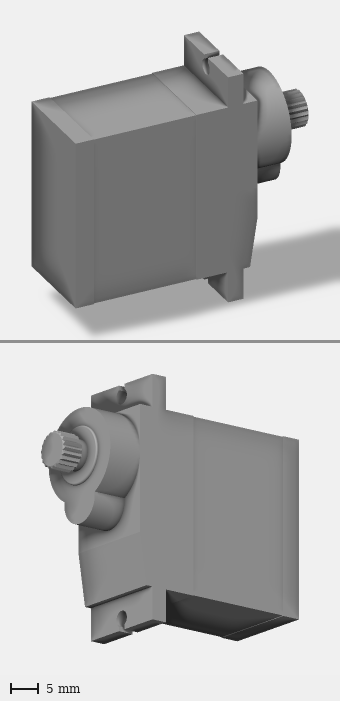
import cadquery as cq
import math


CASE_WIDTH = 17.9
CASE_HEIGHT = 33.95
REAR_CAP_DEPTH = 3.65
MIDDLE_DEPTH = 20.75
FRONT_DEPTH = 12.35
MIDDLE_INSET = 0.1
TAPER_HEIGHT = 9.8
TAPER_DEPTH = 1.5

EAR_SPAN = 46.35
EAR_REAR_Y = 30.85
EAR_THICKNESS = 3.1
EAR_HOLE_RADIUS = 1.5
EAR_HOLE_SPACING = 42.0
EAR_SLOT_WIDTH = 1.5

BOSS_HEIGHT = 6.9
BOSS_RADIUS = CASE_WIDTH / 2
SMALL_BOSS_RADIUS = 4.4
SMALL_BOSS_DROP = 8.45

BEARING_RADIUS = 5.5
BEARING_PROTRUSION = 0.475
BEARING_FILLET = 0.3
SHAFT_LENGTH = 6.35
NECK_RADIUS = 3.0
SPLINE_RADIUS = 3.55
SPLINE_ROOT_RADIUS = 3.1
SPLINE_TEETH = 20
SPLINE_PHASE = 5.1
SPLINE_LENGTH = 4.4
SPLINE_CHAMFER = 0.5
SPLINE_CHAMFER_LENGTH = 0.25

middle_front_y = REAR_CAP_DEPTH + MIDDLE_DEPTH
case_front_y = middle_front_y + FRONT_DEPTH
boss_front_y = case_front_y + BOSS_HEIGHT
shaft_tip_y = boss_front_y + SHAFT_LENGTH
shaft_z = CASE_HEIGHT / 2 - BOSS_RADIUS


def box_along_y(width, height, rear_y, depth):
    """A box centred on the Y axis that runs from rear_y towards +Y."""
    return cq.Workplane("XY").box(width, depth, height).translate((0, rear_y + depth / 2, 0))


def plane_at(y, z=0):
    """A sketch plane across Y: local x is X, local y is Z, and a negative extrusion goes to +Y."""
    return cq.Workplane("XZ", origin=(0, y, z))


def make_ears():
    """A plate across the case with a keyhole slot, open to the tip, in each end."""
    ears = box_along_y(CASE_WIDTH, EAR_SPAN, EAR_REAR_Y, EAR_THICKNESS)
    slot_length = (EAR_SPAN - EAR_HOLE_SPACING) / 2
    for side in (1, -1):
        hole_z = side * EAR_HOLE_SPACING / 2
        slot_z = side * (EAR_SPAN / 2 - slot_length / 2)
        hole = plane_at(EAR_REAR_Y, hole_z).circle(EAR_HOLE_RADIUS).extrude(-EAR_THICKNESS)
        slot = plane_at(EAR_REAR_Y, slot_z).rect(EAR_SLOT_WIDTH, slot_length).extrude(-EAR_THICKNESS)
        ears = ears.cut(hole).cut(slot)
    return ears


def make_front_section():
    """The full-width front block, its front face sloping back at the bottom."""
    bottom_z = -CASE_HEIGHT / 2
    outline = [
        (middle_front_y, bottom_z),
        (case_front_y - TAPER_DEPTH, bottom_z),
        (case_front_y, bottom_z + TAPER_HEIGHT),
        (case_front_y, CASE_HEIGHT / 2),
        (middle_front_y, CASE_HEIGHT / 2),
    ]
    return cq.Workplane("YZ").polyline(outline).close().extrude(CASE_WIDTH / 2, both=True)


def make_boss():
    """The round gear boss around the shaft, with a smaller round-ended boss below it."""
    round_boss = plane_at(case_front_y, shaft_z).circle(BOSS_RADIUS).extrude(-BOSS_HEIGHT)
    small_boss = (
        plane_at(case_front_y, shaft_z)
        .moveTo(-SMALL_BOSS_RADIUS, 0)
        .lineTo(-SMALL_BOSS_RADIUS, -SMALL_BOSS_DROP)
        .threePointArc((0, -SMALL_BOSS_DROP - SMALL_BOSS_RADIUS), (SMALL_BOSS_RADIUS, -SMALL_BOSS_DROP))
        .lineTo(SMALL_BOSS_RADIUS, 0)
        .close()
        .extrude(-BOSS_HEIGHT)
    )
    return round_boss.union(small_boss)


def make_case():
    """Rear cap, recessed middle, front block, ears and boss as one housing."""
    rear_cap = box_along_y(CASE_WIDTH, CASE_HEIGHT, 0, REAR_CAP_DEPTH)
    middle = box_along_y(
        CASE_WIDTH - 2 * MIDDLE_INSET, CASE_HEIGHT - 2 * MIDDLE_INSET, REAR_CAP_DEPTH, MIDDLE_DEPTH
    )
    return rear_cap.union(middle).union(make_front_section()).union(make_ears()).union(make_boss())


def make_bearing():
    """A flat ring on the boss face, around the shaft neck."""
    return (
        plane_at(boss_front_y, shaft_z)
        .circle(BEARING_RADIUS)
        .extrude(-BEARING_PROTRUSION)
        .faces(">Y").edges().fillet(BEARING_FILLET)
        .cut(plane_at(boss_front_y, shaft_z).circle(NECK_RADIUS).extrude(-BEARING_PROTRUSION))
    )


def make_shaft():
    """A plain neck with a toothed spline at the tip, chamfered at both ends."""
    spline_rear_y = shaft_tip_y - SPLINE_LENGTH
    half_pitch = math.pi / SPLINE_TEETH
    points = []
    for i in range(2 * SPLINE_TEETH):
        radius = SPLINE_RADIUS if i % 2 == 0 else SPLINE_ROOT_RADIUS
        angle = math.radians(SPLINE_PHASE) + i * half_pitch
        points.append((radius * math.cos(angle), radius * math.sin(angle)))
    teeth = plane_at(spline_rear_y, shaft_z).polyline(points).close().extrude(-SPLINE_LENGTH)
    end_radius = SPLINE_RADIUS - SPLINE_CHAMFER
    envelope = (
        cq.Workplane("XY")
        .polyline([
            (0, spline_rear_y),
            (end_radius, spline_rear_y),
            (SPLINE_RADIUS, spline_rear_y + SPLINE_CHAMFER_LENGTH),
            (SPLINE_RADIUS, shaft_tip_y - SPLINE_CHAMFER_LENGTH),
            (end_radius, shaft_tip_y),
            (0, shaft_tip_y),
        ])
        .close()
        .revolve(360, (0, 0, 0), (0, 1, 0))
        .translate((0, 0, shaft_z))
    )
    neck_length = SHAFT_LENGTH - SPLINE_LENGTH
    neck = plane_at(boss_front_y, shaft_z).circle(NECK_RADIUS).extrude(-neck_length)
    return neck.union(teeth.intersect(envelope))


case = make_case()
bearing = make_bearing()
shaft = make_shaft()

result = cq.Compound.makeCompound([case.val(), bearing.val(), shaft.val()])